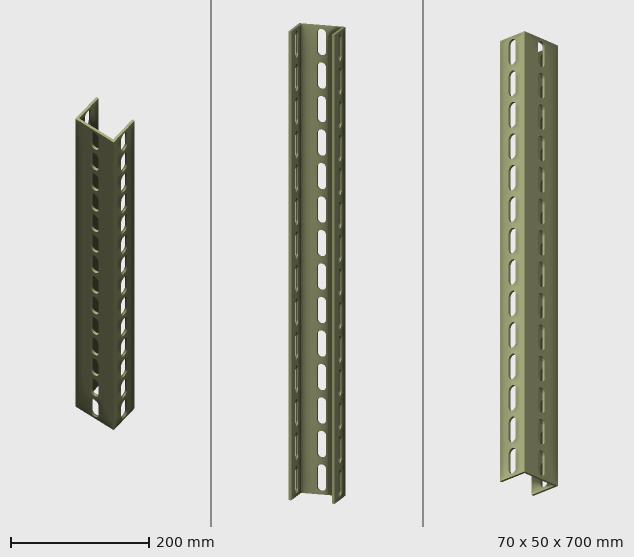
import cadquery as cq

length = 700.0
width = 70.0
depth = 50.0
wall = 4.0

slot_count = 14
slot_pitch = length / slot_count
slot_length = 40.0
slot_width = 14.0


def channel():
    """Plain U-channel with its outer box centred on the origin."""
    inner_width = width - 2 * wall
    body = cq.Workplane("XY").box(width, depth, length)
    hollow = cq.Workplane("XY").box(inner_width, depth, length).translate((0, wall, 0))
    return body.cut(hollow)


def slot_row(plane, cut_depth):
    """Row of upright slot cutters, extruded both ways from the given plane through the axis."""
    return (
        cq.Workplane(plane)
        .rarray(7, slot_pitch, 1, slot_count)
        .slot2D(slot_length, slot_width, 90)
        .extrude(cut_depth / 2, both=True)
    )


web_slots = slot_row("XZ", depth)
flange_slots = slot_row("YZ", width)

result = channel().cut(web_slots).cut(flange_slots)